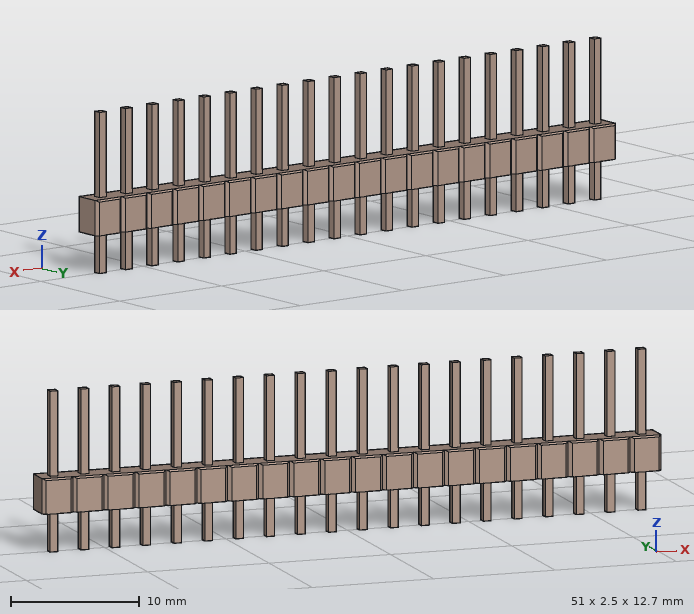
import cadquery as cq


pin_count = 20
pitch = 2.55

bar_length = pin_count * pitch
bar_width = 2.5
bar_height = 2.8

notch_depth = 0.25
notch_half_width = 0.25

bevel_across = 0.2
bevel_down = 0.12

pin_side = 0.64
pin_length = 12.7
pin_below_bar = 3.2
pin_shift = -0.05


def make_bar():
    """Bar with both long top edges bevelled, centred in X and Y, bottom at Z = 0."""
    half_width = bar_width / 2
    profile = [
        (-half_width, 0),
        (half_width, 0),
        (half_width, bar_height - bevel_down),
        (half_width - bevel_across, bar_height),
        (bevel_across - half_width, bar_height),
        (-half_width, bar_height - bevel_down),
    ]
    return cq.Workplane("YZ").polyline(profile).close().extrude(bar_length / 2, both=True)


def make_notch(x, side):
    """Upright V-shaped cutter at x on one long side (side is -1 or +1)."""
    mouth_y = side * bar_width / 2
    root_y = side * (bar_width / 2 - notch_depth)
    outline = [
        (x - notch_half_width, mouth_y),
        (x, root_y),
        (x + notch_half_width, mouth_y),
    ]
    return cq.Workplane("XY").polyline(outline).close().extrude(bar_height)


def make_pins():
    """Row of square pins passing through the bar."""
    first_x = (pitch - bar_length) / 2 + pin_shift
    centres = [(first_x + index * pitch, 0) for index in range(pin_count)]
    base = cq.Workplane("XY").workplane(offset=-pin_below_bar)
    return base.pushPoints(centres).rect(pin_side, pin_side).extrude(pin_length)


bar = make_bar()
for boundary in range(pin_count + 1):
    boundary_x = boundary * pitch - bar_length / 2
    for side in (-1, 1):
        bar = bar.cut(make_notch(boundary_x, side))

result = bar.union(make_pins())